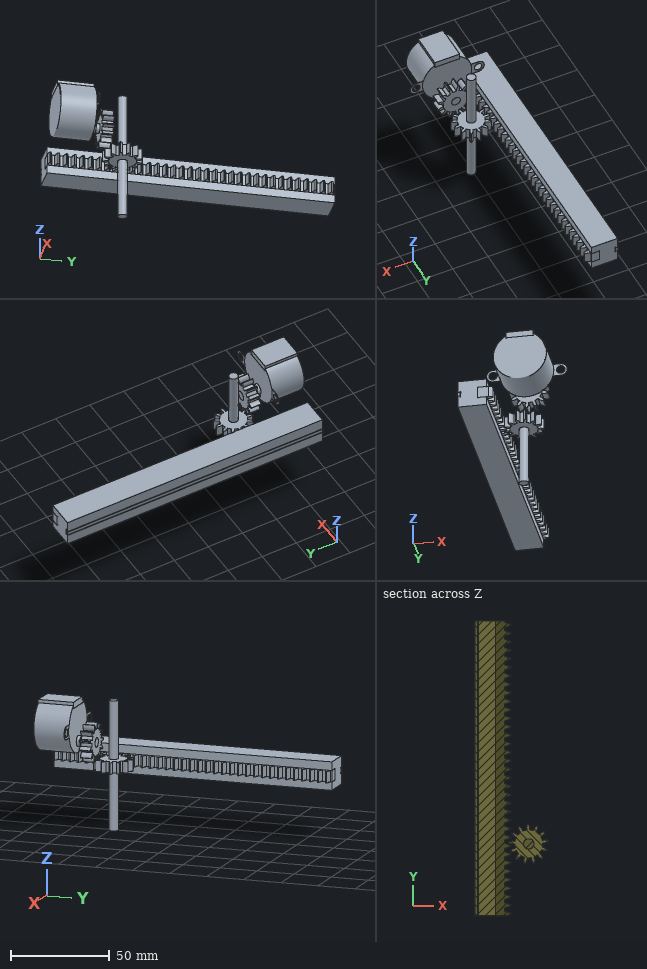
import cadquery as cq
import math

BAR_LENGTH = 150.0
BAR_SIDE = 15.0
BAR_MID_Z = BAR_SIDE / 2

STRIP_HEIGHT = 2.2
STRIP_PROUD = 0.3
STRIP_DEPTH = 1.2
SLOT_HEAD_HEIGHT = 3.2
SLOT_HEAD_DEPTH = 0.3

RACK_INSET = 4.6
RACK_TOOTH_COUNT = 35
FIRST_TOOTH_Y = 1.0
LAST_TOOTH_Y = 147.9

TOOTH_PITCH = (LAST_TOOTH_Y - FIRST_TOOTH_Y) / (RACK_TOOTH_COUNT - 1)
MODULE = TOOTH_PITCH / math.pi
PRESSURE_ANGLE = math.radians(20)
ADDENDUM = MODULE
DEDENDUM = 1.25 * MODULE
FACE_WIDTH = 6.0
FLANK_RELIEF = 0.27

GEAR_TEETH = 13
PITCH_RADIUS = MODULE * GEAR_TEETH / 2
BASE_RADIUS = PITCH_RADIUS * math.cos(PRESSURE_ANGLE)
TIP_RADIUS = PITCH_RADIUS + ADDENDUM
ROOT_RADIUS = PITCH_RADIUS - DEDENDUM
SHAFT_DIAMETER = 5.0

PINION_X = 27.2
PINION_Y = 36.6
PINION_TOOTH_ANGLE = 92.0
ROD_BOTTOM = -27.0
ROD_TOP = 41.1

MOTOR_X = 32.1
MOTOR_Z = 27.3
CAN_RADIUS = 14.0
CAN_LENGTH = 19.2
RIM_FILLET = 0.3
EAR_HOLE_SPACING = 35.1
EAR_RADIUS = 3.5
EAR_HOLE_DIAMETER = 4.2
EAR_THICKNESS = 0.2
SHAFT_DROP = 8.0
SHAFT_Z = MOTOR_Z - SHAFT_DROP
BOSS_DIAMETER = 5.7
BOSS_LENGTH = 2.0

MOTOR_GEAR_Y = 23.2
MOTOR_GEAR_TOOTH_ANGLE = -95.8

BOX_WIDTH = 14.1
BOX_BOTTOM = 37.8
BOX_TOP = 41.1


def block(x_range, y_range, z_range):
    """Box between two limits on each axis."""
    size = [high - low for low, high in (x_range, y_range, z_range)]
    corner = (x_range[0], y_range[0], z_range[0])
    return cq.Workplane("XY").box(*size, centered=False).translate(corner)


def band(height):
    """Z limits of a band centred on the bar's mid-height."""
    return (BAR_MID_Z - height / 2, BAR_MID_Z + height / 2)


def y_cylinder(diameter, y_start, y_end, x, z):
    """Cylinder along Y between two Y positions."""
    return (
        cq.Workplane("XZ", origin=(x, y_start, z))
        .circle(diameter / 2)
        .extrude(y_start - y_end)
    )


def make_strip():
    return block((-STRIP_PROUD, STRIP_DEPTH), (0, BAR_LENGTH), band(STRIP_HEIGHT))


def make_rack():
    """Straight-sided rack teeth on a backing that fills the bar's recess."""
    pitch_x = BAR_SIDE + DEDENDUM
    tip_x = pitch_x + ADDENDUM
    lean = math.tan(PRESSURE_ANGLE)
    pitch_half = TOOTH_PITCH / 4 - FLANK_RELIEF
    root_half = pitch_half + DEDENDUM * lean
    tip_half = pitch_half - ADDENDUM * lean
    backing = block((BAR_SIDE - RACK_INSET, BAR_SIDE), (0, BAR_LENGTH), band(FACE_WIDTH))
    points = [(BAR_SIDE - RACK_INSET, FIRST_TOOTH_Y - root_half)]
    for index in range(RACK_TOOTH_COUNT):
        y = FIRST_TOOTH_Y + index * TOOTH_PITCH
        points += [
            (BAR_SIDE, y - root_half),
            (tip_x, y - tip_half),
            (tip_x, y + tip_half),
            (BAR_SIDE, y + root_half),
        ]
    points.append((BAR_SIDE - RACK_INSET, points[-1][1]))
    toothed = (
        cq.Workplane("XY", origin=(0, 0, band(FACE_WIDTH)[0]))
        .polyline(points)
        .close()
        .extrude(FACE_WIDTH)
    )
    within_bar = block((0, tip_x), (0, BAR_LENGTH), (0, BAR_SIDE))
    return backing.union(toothed.intersect(within_bar)).clean()


def make_bar():
    """Square bar with a T-slot on its -X side and the rack's recess on its +X side."""
    bar = block((0, BAR_SIDE), (0, BAR_LENGTH), (0, BAR_SIDE))
    slot_neck = block((0, STRIP_DEPTH), (0, BAR_LENGTH), band(STRIP_HEIGHT))
    slot_head = block(
        (STRIP_DEPTH, STRIP_DEPTH + SLOT_HEAD_DEPTH), (0, BAR_LENGTH), band(SLOT_HEAD_HEIGHT)
    )
    recess = block((BAR_SIDE - RACK_INSET, BAR_SIDE), (0, BAR_LENGTH), band(FACE_WIDTH))
    return bar.cut(slot_neck).cut(slot_head).cut(recess)


def involute(angle):
    return math.tan(angle) - angle


def half_tooth_angle(radius):
    """Half of the angle that a tooth spans at a radius on or outside the base circle."""
    flank = involute(math.acos(BASE_RADIUS / radius))
    pitch_half = (TOOTH_PITCH / 4 - FLANK_RELIEF) / PITCH_RADIUS
    return pitch_half + involute(PRESSURE_ANGLE) - flank


def polar(radius, angle):
    return (radius * math.cos(angle), radius * math.sin(angle))


def make_gear(tooth_angle):
    """Involute gear on the XY plane, bored for its shaft, one tooth at the given angle."""
    base_half = half_tooth_angle(BASE_RADIUS)
    pitch_half = half_tooth_angle(PITCH_RADIUS)
    tip_half = half_tooth_angle(TIP_RADIUS)
    step = 2 * math.pi / GEAR_TEETH
    start = math.radians(tooth_angle)
    outline = cq.Workplane("XY").moveTo(*polar(ROOT_RADIUS, start - base_half))
    for index in range(GEAR_TEETH):
        centre = start + index * step
        outline = (
            outline.lineTo(*polar(BASE_RADIUS, centre - base_half))
            .threePointArc(
                polar(PITCH_RADIUS, centre - pitch_half), polar(TIP_RADIUS, centre - tip_half)
            )
            .threePointArc(polar(TIP_RADIUS, centre), polar(TIP_RADIUS, centre + tip_half))
            .threePointArc(
                polar(PITCH_RADIUS, centre + pitch_half), polar(BASE_RADIUS, centre + base_half)
            )
            .lineTo(*polar(ROOT_RADIUS, centre + base_half))
            .threePointArc(
                polar(ROOT_RADIUS, centre + step / 2),
                polar(ROOT_RADIUS, centre + step - base_half),
            )
        )
    bore = cq.Workplane("XY").circle(SHAFT_DIAMETER / 2).extrude(FACE_WIDTH)
    return outline.close().extrude(FACE_WIDTH).cut(bore)


def make_rod():
    return (
        cq.Workplane("XY", origin=(PINION_X, PINION_Y, ROD_BOTTOM))
        .circle(SHAFT_DIAMETER / 2)
        .extrude(ROD_TOP - ROD_BOTTOM)
    )


def connector_space(top):
    """Space of the connector box, from its floor up to the given height."""
    half_width = BOX_WIDTH / 2
    return block(
        (MOTOR_X - half_width, MOTOR_X + half_width), (0, CAN_LENGTH), (BOX_BOTTOM, top)
    )


def make_motor():
    """Can with two thin ears, a low-set boss and shaft, and a seat for the connector box."""
    can = y_cylinder(2 * CAN_RADIUS, 0, CAN_LENGTH, MOTOR_X, MOTOR_Z)
    can = can.faces("<Y").edges().fillet(RIM_FILLET)
    ear_plane = cq.Workplane("XZ", origin=(MOTOR_X, CAN_LENGTH, MOTOR_Z))
    ears = ear_plane.slot2D(EAR_HOLE_SPACING + 2 * EAR_RADIUS, 2 * EAR_RADIUS).extrude(EAR_THICKNESS)
    hole_offset = EAR_HOLE_SPACING / 2
    holes = (
        ear_plane.pushPoints([(-hole_offset, 0), (hole_offset, 0)])
        .circle(EAR_HOLE_DIAMETER / 2)
        .extrude(EAR_THICKNESS)
    )
    boss = y_cylinder(BOSS_DIAMETER, CAN_LENGTH, CAN_LENGTH + BOSS_LENGTH, MOTOR_X, SHAFT_Z)
    shaft = y_cylinder(SHAFT_DIAMETER, CAN_LENGTH, MOTOR_GEAR_Y + FACE_WIDTH, MOTOR_X, SHAFT_Z)
    seat = connector_space(MOTOR_Z + CAN_RADIUS)
    return can.union(ears).cut(holes).union(boss).union(shaft).cut(seat)


bar = make_bar()
strip = make_strip()
rack = make_rack()
pinion = make_gear(PINION_TOOTH_ANGLE).translate((PINION_X, PINION_Y, band(FACE_WIDTH)[0]))
rod = make_rod()
motor = make_motor()
motor_gear = (
    make_gear(MOTOR_GEAR_TOOTH_ANGLE)
    .rotate((0, 0, 0), (1, 0, 0), 90)
    .translate((MOTOR_X, MOTOR_GEAR_Y + FACE_WIDTH, SHAFT_Z))
)
connector_box = connector_space(BOX_TOP)

bodies = [bar, strip, rack, pinion, rod, motor, motor_gear, connector_box]
result = cq.Compound.makeCompound([body.val() for body in bodies])